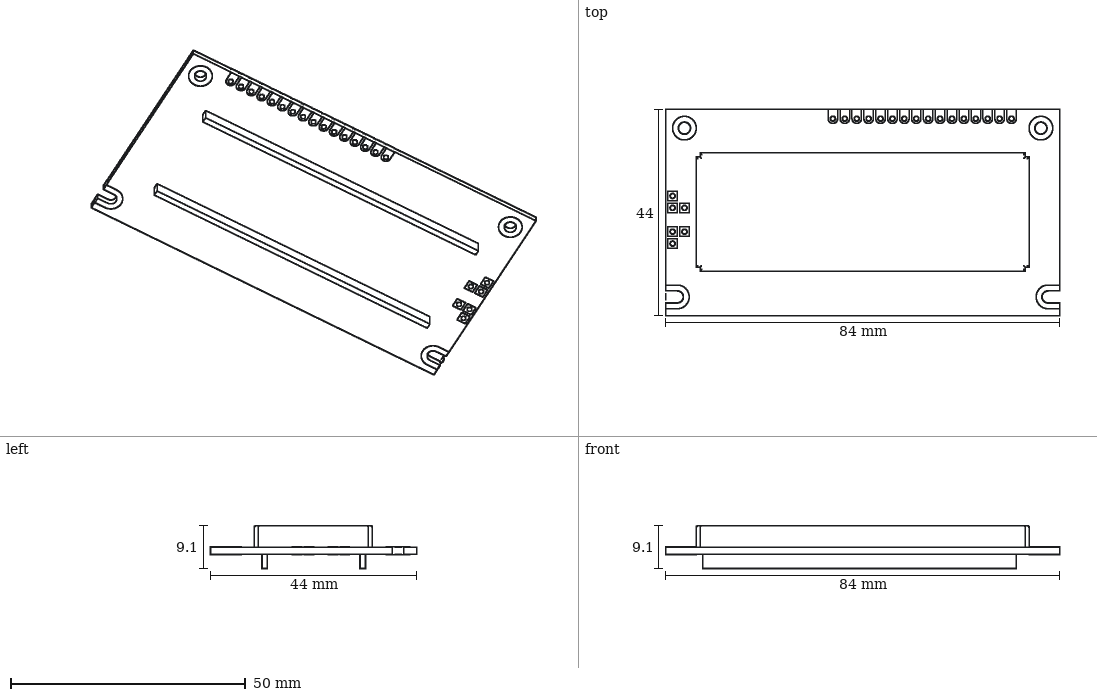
import cadquery as cq

board_length = 84.0
board_width = 44.0
board_thickness = 1.5

housing_length = 71.0
housing_width = 25.2
housing_height = 4.6
housing_center_y = 0.1
corner_notch = 0.8
housing_edge_radius = 0.46

rail_length = 66.9
rail_width = 1.2
rail_height = 3.0
rail_spacing = 20.9
rail_center_x = -0.7

pad_thickness = 0.1
pad_size = 2.0
pad_hole_diameter = 1.0
copper_setback = 0.1

connector_pad_count = 16
connector_length = 38.1
connector_center_x = 12.7
connector_inset = 2.0

square_pad_inset = 1.5
square_pad_top_y = 3.5
square_pad_grid = [(0, 0), (0, 1), (1, 1), (0, 3), (1, 3), (0, 4)]

mount_diameter = 2.5
mount_pad_diameter = 5.0
mount_inset_y = 4.0
hole_inset_x = 4.0
slot_depth = mount_pad_diameter / 2

half_length = board_length / 2
half_width = board_width / 2
hole_x = half_length - hole_inset_x
hole_y = half_width - mount_inset_y
slot_x = half_length - slot_depth
slot_y = mount_inset_y - half_width
connector_y = half_width - connector_inset
pad_pitch = connector_length / (connector_pad_count - 1)
pad_levels = (board_thickness, -pad_thickness)

hole_points = [(side * hole_x, hole_y) for side in (-1, 1)]
slot_points = [(side * slot_x, slot_y) for side in (-1, 1)]
connector_points = [
    (connector_center_x + (i - (connector_pad_count - 1) / 2) * pad_pitch, connector_y)
    for i in range(connector_pad_count)
]
square_points = [
    (square_pad_inset - half_length + column * pad_pitch, square_pad_top_y - row * pad_pitch)
    for column, row in square_pad_grid
]


def make_block(x_min, x_max, center_y, width, bottom, height):
    """Upright block between two X positions, centred on center_y."""
    return (
        cq.Workplane("XY", origin=((x_min + x_max) / 2, center_y, bottom))
        .rect(x_max - x_min, width)
        .extrude(height)
    )


def make_discs(points, diameter, bottom, height):
    """Upright cylinders at the given points."""
    return cq.Workplane("XY", origin=(0, 0, bottom)).pushPoints(points).circle(diameter / 2).extrude(height)


def make_slot_strip(side, reach, width, bottom, height):
    """Straight stretch of a mounting slot or its pad, from its round end to a distance reach from x = 0."""
    x_min, x_max = sorted((side * slot_x, side * reach))
    return make_block(x_min, x_max, slot_y, width, bottom, height)


def make_housing():
    """Display housing: a block with square corner notches and a rounded top rim."""
    base = cq.Workplane("XY", origin=(0, housing_center_y, board_thickness))
    housing = base.rect(housing_length, housing_width).extrude(housing_height)
    notches = (
        base.rect(housing_length, housing_width, forConstruction=True)
        .vertices()
        .rect(2 * corner_notch, 2 * corner_notch)
        .extrude(housing_height)
    )
    return housing.cut(notches).faces(">Z").edges().fillet(housing_edge_radius)


def make_rails():
    """Two long rails under the board, reaching up to its underside."""
    return (
        cq.Workplane("XY", origin=(rail_center_x, 0, -rail_height))
        .rarray(0.8, rail_spacing, 1, 2)
        .rect(rail_length, rail_width)
        .extrude(rail_height)
    )


def make_pads(bottom):
    """All copper pads of one face of the board, before drilling."""
    pads = make_discs(hole_points + slot_points, mount_pad_diameter, bottom, pad_thickness)
    pads = pads.union(make_discs(connector_points, pad_size, bottom, pad_thickness))
    for side, reach in ((-1, half_length - copper_setback), (1, half_length)):
        pads = pads.union(make_slot_strip(side, reach, mount_pad_diameter, bottom, pad_thickness))
    connector_strips = (
        cq.Workplane("XY", origin=(0, connector_inset / 2, bottom))
        .pushPoints(connector_points)
        .rect(pad_size, connector_inset)
        .extrude(pad_thickness)
    )
    squares = (
        cq.Workplane("XY", origin=(0, 0, bottom))
        .pushPoints(square_points)
        .rect(pad_size, pad_size)
        .extrude(pad_thickness)
    )
    return pads.union(connector_strips).union(squares)


def make_drillings():
    """Mounting holes, mounting slots and pad holes, through the board and the pads on both faces."""
    bottom = -pad_thickness
    height = board_thickness + 2 * pad_thickness
    drillings = make_discs(hole_points + slot_points, mount_diameter, bottom, height)
    drillings = drillings.union(
        make_discs(connector_points + square_points, pad_hole_diameter, bottom, height)
    )
    for side in (-1, 1):
        drillings = drillings.union(make_slot_strip(side, half_length, mount_diameter, bottom, height))
    return drillings


def make_module():
    """Board with its pads, housing and rails as one solid."""
    module = make_block(-half_length, half_length, 0, board_width, 0, board_thickness)
    for bottom in pad_levels:
        module = module.union(make_pads(bottom))
    return module.cut(make_drillings()).union(make_housing()).union(make_rails()).solids().val()


def make_sliver(bottom):
    """Tip of the left slot's round pad that is left over in the slot's mouth."""
    disc = make_discs([(-slot_x, slot_y)], mount_pad_diameter, bottom, pad_thickness)
    mouth = make_block(
        -half_length, copper_setback - half_length, slot_y, mount_diameter, bottom, pad_thickness
    )
    return disc.intersect(mouth).solids().val()


module = make_module()
slivers = [make_sliver(bottom) for bottom in pad_levels]

result = cq.Compound.makeCompound([module, *slivers])